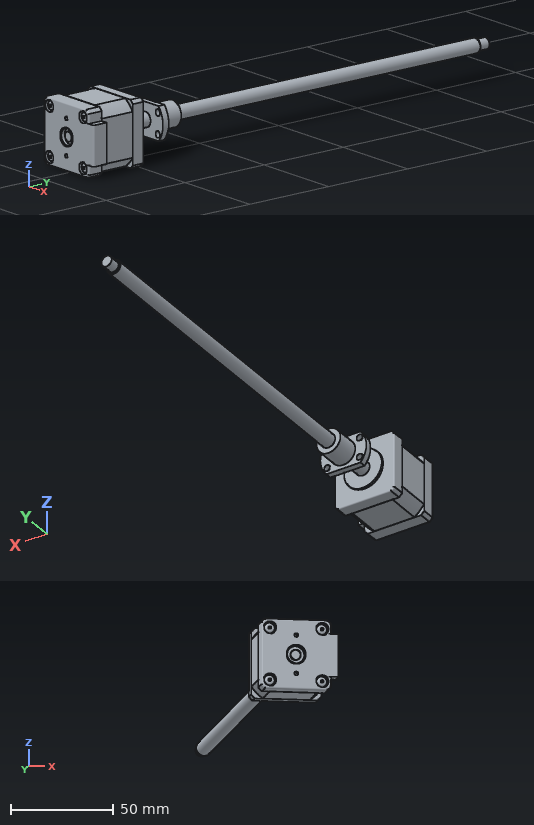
import cadquery as cq

MOTOR_SIDE = 35.0
MOTOR_LENGTH = 35.0
REAR_CAP_LENGTH = 8.2
FRONT_CAP_LENGTH = 7.2
STATOR_START = REAR_CAP_LENGTH
STATOR_END = MOTOR_LENGTH - FRONT_CAP_LENGTH
STATOR_RECESS = 0.13

CAP_CORNER_DIAMETER = 47.0
STATOR_CORNER_DIAMETER = 42.0

REAR_EDGE_RADIUS = 1.0
FRONT_EDGE_RADIUS = 0.8

CONNECTOR_REACH = 3.7
CONNECTOR_HEIGHT = 21.2

PILOT_DIAMETER = 22.0
PILOT_HEIGHT = 1.3

SCREW_SPACING = 26.0
SCREW_HEAD_DIAMETER = 5.3
SCREW_HEAD_HEIGHT = 1.9
SCREW_HEAD_RADIUS = 1.3
SCREW_HEAD_TOP = 0.5
SCREW_SHANK_DIAMETER = 3.0
SCREW_END = STATOR_END
SOCKET_DIAMETER = 1.3
SOCKET_DEPTH = 1.0
COUNTERBORE_DIAMETER = 6.0
COUNTERBORE_DEPTH = SCREW_HEAD_TOP + SCREW_HEAD_HEIGHT

REAR_BORE_DIAMETER = 8.8
REAR_BORE_DEPTH = 2.7
REAR_BORE_RIM_DIAMETER = 9.5
REAR_BORE_RIM_DEPTH = 0.5
PIN_HOLE_DIAMETER = 1.9
PIN_HOLE_SPACING = 19.0
PIN_HOLE_DEPTH = 2.7

THREAD_DIAMETER = 8.0
THREAD_CHAMFER = 0.4
SHAFT_START = 1.3
SHAFT_END = 265.5
END_JOURNAL_DIAMETER = 6.0
END_JOURNAL_LENGTH = 6.0
REAR_JOURNAL_DIAMETER = 5.0
THREAD_START = MOTOR_LENGTH
THREAD_END = SHAFT_END - END_JOURNAL_LENGTH

NUT_START = 50.2
FLANGE_THICKNESS = 3.7
FLANGE_DIAMETER = 27.0
FLANGE_WIDTH = 18.0
FLANGE_END = NUT_START + FLANGE_THICKNESS
BARREL_DIAMETER = 14.0
BARREL_LENGTH = 13.3
NUT_END = FLANGE_END + BARREL_LENGTH
NUT_HOLE_DIAMETER = 3.5
NUT_HOLE_SPACING_X = 19.0
NUT_HOLE_SPACING_Z = 11.2


def section_plane(y):
    """Sketch plane across the shaft axis: normal along +Y, local x along +X."""
    return cq.Workplane(cq.Plane(origin=(0, y, 0), xDir=(1, 0, 0), normal=(0, 1, 0)))


def rod(diameter, start, end, x=0.0, z=0.0):
    """Cylinder parallel to Y."""
    cylinder = section_plane(start).circle(diameter / 2).extrude(end - start)
    return cylinder.translate((x, 0, z))


def bar(width, height, start, end):
    """Rectangular bar along Y, centred on the shaft axis."""
    return section_plane(start).rect(width, height).extrude(end - start)


def turned_square(side, corner_diameter, start, end):
    """Square section along Y with its corners turned to a common diameter."""
    return bar(side, side, start, end).intersect(rod(corner_diameter, start, end))


def grid_points(spacing_x, spacing_z):
    """Four (x, z) corners of a rectangle centred on the shaft axis."""
    return [(i * spacing_x / 2, k * spacing_z / 2) for i in (-1, 1) for k in (-1, 1)]


SCREW_POINTS = grid_points(SCREW_SPACING, SCREW_SPACING)


def make_connector():
    reach = MOTOR_SIDE / 2 + CONNECTOR_REACH
    connector = bar(reach, CONNECTOR_HEIGHT, 0, REAR_CAP_LENGTH).translate((reach / 2, 0, 0))
    return connector.edges(">X and <Y").fillet(REAR_EDGE_RADIUS)


def make_rear_cap():
    cap = turned_square(MOTOR_SIDE, CAP_CORNER_DIAMETER, 0, REAR_CAP_LENGTH)
    cap = cap.faces("<Y").edges().fillet(REAR_EDGE_RADIUS)
    cap = cap.union(make_connector())

    cap = cap.cut(rod(REAR_BORE_RIM_DIAMETER, 0, REAR_BORE_RIM_DEPTH))
    cap = cap.cut(rod(REAR_BORE_DIAMETER, 0, REAR_BORE_DEPTH))
    cap = cap.cut(rod(REAR_JOURNAL_DIAMETER, 0, REAR_CAP_LENGTH))

    for side in (-1, 1):
        cap = cap.cut(rod(PIN_HOLE_DIAMETER, 0, PIN_HOLE_DEPTH, z=side * PIN_HOLE_SPACING / 2))

    for x, z in SCREW_POINTS:
        cap = cap.cut(rod(COUNTERBORE_DIAMETER, 0, COUNTERBORE_DEPTH, x, z))
        cap = cap.cut(rod(SCREW_SHANK_DIAMETER, 0, REAR_CAP_LENGTH, x, z))
    return cap


def make_housing():
    """Stator with the front cap and its pilot boss."""
    stator_side = MOTOR_SIDE - 2 * STATOR_RECESS
    stator = turned_square(stator_side, STATOR_CORNER_DIAMETER, STATOR_START, STATOR_END)
    front_cap = turned_square(MOTOR_SIDE, CAP_CORNER_DIAMETER, STATOR_END, MOTOR_LENGTH)
    front_cap = front_cap.faces(">Y").edges().fillet(FRONT_EDGE_RADIUS)
    pilot_end = MOTOR_LENGTH + PILOT_HEIGHT
    housing = stator.union(front_cap).union(rod(PILOT_DIAMETER, STATOR_END, pilot_end))

    housing = housing.cut(rod(REAR_JOURNAL_DIAMETER, STATOR_START, THREAD_START))
    housing = housing.cut(rod(THREAD_DIAMETER, THREAD_START, pilot_end))
    for x, z in SCREW_POINTS:
        housing = housing.cut(rod(SCREW_SHANK_DIAMETER, STATOR_START, SCREW_END, x, z))
    return housing


def make_screw(x, z):
    """Round-headed screw, its head sunk into the rear cap."""
    head = rod(SCREW_HEAD_DIAMETER, SCREW_HEAD_TOP, COUNTERBORE_DEPTH)
    head = head.faces("<Y").edges().fillet(SCREW_HEAD_RADIUS)
    screw = head.union(rod(SCREW_SHANK_DIAMETER, COUNTERBORE_DEPTH, SCREW_END))
    screw = screw.cut(rod(SOCKET_DIAMETER, SCREW_HEAD_TOP, SCREW_HEAD_TOP + SOCKET_DEPTH))
    return screw.translate((x, 0, z))


def make_lead_screw():
    thread = rod(THREAD_DIAMETER, THREAD_START, THREAD_END).faces(">Y").chamfer(THREAD_CHAMFER)
    rear_journal = rod(REAR_JOURNAL_DIAMETER, SHAFT_START, THREAD_START)
    end_journal = rod(END_JOURNAL_DIAMETER, THREAD_END, SHAFT_END)
    return thread.union(rear_journal).union(end_journal)


def make_nut():
    flange = rod(FLANGE_DIAMETER, NUT_START, FLANGE_END)
    flange = flange.intersect(bar(FLANGE_DIAMETER, FLANGE_WIDTH, NUT_START, FLANGE_END))
    nut = flange.union(rod(BARREL_DIAMETER, FLANGE_END, NUT_END))
    nut = nut.cut(rod(THREAD_DIAMETER, NUT_START, NUT_END))
    for x, z in grid_points(NUT_HOLE_SPACING_X, NUT_HOLE_SPACING_Z):
        nut = nut.cut(rod(NUT_HOLE_DIAMETER, NUT_START, FLANGE_END, x, z))
    return nut


rear_cap = make_rear_cap()
housing = make_housing()
lead_screw = make_lead_screw()
nut = make_nut()
screws = [make_screw(x, z) for x, z in SCREW_POINTS]

result = cq.Compound.makeCompound([
    rear_cap.val(),
    housing.val(),
    lead_screw.val(),
    nut.val(),
    *[screw.val() for screw in screws],
])